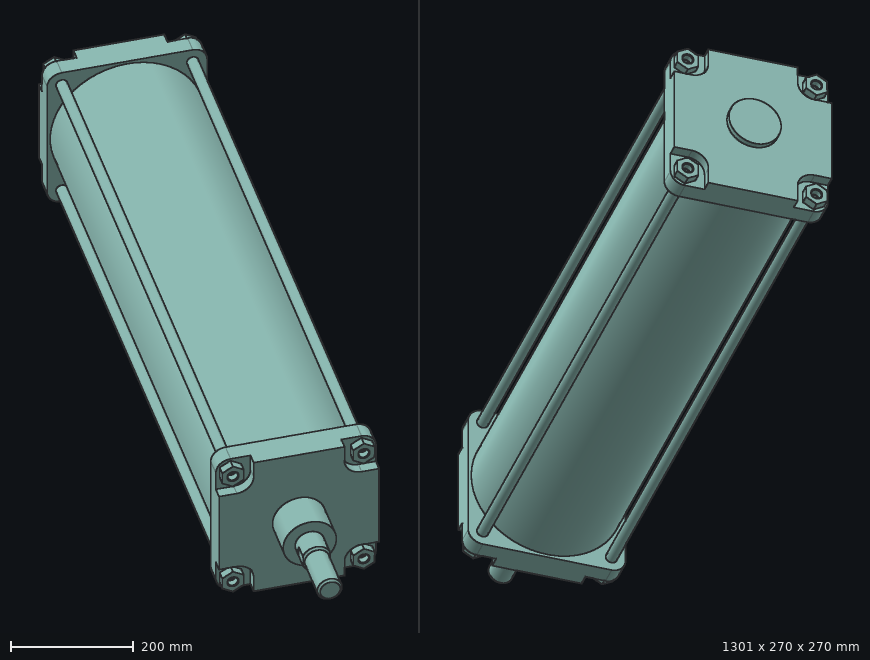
import cadquery as cq

TOTAL_LENGTH = 1301.0

HEAD_SIZE = 270.0
HEAD_THICKNESS = 51.0
HEAD_CORNER_RADIUS = 25.0
BOSS_DIAMETER = 90.0
REAR_BOSS_LENGTH = 10.0
FRONT_BOSS_LENGTH = 65.0

RECESS_SIZE = 59.0
RECESS_DEPTH = 20.0
RECESS_RADIUS = 29.0

TUBE_DIAMETER = 260.0
TUBE_LENGTH = 999.0

TIE_ROD_OFFSET = 110.0
TIE_ROD_DIAMETER = 20.0
NUT_ACROSS_FLATS = 36.0
NUT_HEIGHT = 15.0
NUT_BORE_DIAMETER = 17.0
NUT_COUNTERSINK = 1.0

COLLAR_DIAMETER = 50.0
COLLAR_LENGTH = 15.0
WRENCH_LENGTH = 25.0
WRENCH_ACROSS_FLATS = 45.0
SHOULDER_CHAMFER = 4.0
ROD_END_DIAMETER = 42.0
ROD_END_CHAMFER = 4.0

rear_head_outer = REAR_BOSS_LENGTH
tube_start = rear_head_outer + HEAD_THICKNESS
tube_end = tube_start + TUBE_LENGTH
front_head_outer = tube_end + HEAD_THICKNESS
front_boss_end = front_head_outer + FRONT_BOSS_LENGTH
wrench_start = front_boss_end + COLLAR_LENGTH
wrench_end = wrench_start + WRENCH_LENGTH
shoulder_end = wrench_end + SHOULDER_CHAMFER

CORNERS = [(y_side, z_side) for y_side in (-1, 1) for z_side in (-1, 1)]


def plane_at(x):
    """Plane normal to +X, with local x along Y and local y along Z."""
    return cq.Workplane("YZ", origin=(x, 0, 0))


def bar(diameter, start, end):
    """Round bar on the cylinder axis."""
    return plane_at(start).circle(diameter / 2).extrude(end - start)


def corner_recesses(outer_face, inward):
    """Four rounded blocks to cut from the outer face; inward is the X direction into the head."""
    block_size = RECESS_SIZE + 2 * RECESS_RADIUS
    block_offset = HEAD_SIZE / 2 - RECESS_SIZE + block_size / 2
    return (
        plane_at(outer_face)
        .rect(2 * block_offset, 2 * block_offset, forConstruction=True)
        .vertices()
        .rect(block_size, block_size)
        .extrude(inward * RECESS_DEPTH)
        .edges("|X")
        .fillet(RECESS_RADIUS)
    )


def make_head(outer_face, inward, boss_length):
    """Square head with corner recesses, tie-rod holes and a boss on its outer face."""
    plate = (
        plane_at(outer_face)
        .rect(HEAD_SIZE, HEAD_SIZE)
        .extrude(inward * HEAD_THICKNESS)
        .edges("|X")
        .fillet(HEAD_CORNER_RADIUS)
    )
    holes = (
        plane_at(outer_face)
        .rect(2 * TIE_ROD_OFFSET, 2 * TIE_ROD_OFFSET, forConstruction=True)
        .vertices()
        .circle(TIE_ROD_DIAMETER / 2)
        .extrude(inward * HEAD_THICKNESS)
    )
    boss = plane_at(outer_face).circle(BOSS_DIAMETER / 2).extrude(-inward * boss_length)
    return plate.cut(corner_recesses(outer_face, inward)).cut(holes).union(boss)


def make_tie_rod(y_side, z_side):
    """Tie rod with both nuts, which sit on the recess floors and have corners facing +Z and -Z."""
    center = (y_side * TIE_ROD_OFFSET, z_side * TIE_ROD_OFFSET)
    rear_nut_seat = rear_head_outer + RECESS_DEPTH
    front_nut_seat = front_head_outer - RECESS_DEPTH
    rod = (
        plane_at(rear_nut_seat)
        .center(*center)
        .circle(TIE_ROD_DIAMETER / 2)
        .extrude(front_nut_seat - rear_nut_seat)
    )
    for nut_seat, outward, end_face in ((rear_nut_seat, -1, "<X"), (front_nut_seat, 1, ">X")):
        nut = (
            plane_at(nut_seat)
            .center(*center)
            .polygon(6, NUT_ACROSS_FLATS, circumscribed=True)
            .circle(NUT_BORE_DIAMETER / 2)
            .extrude(outward * NUT_HEIGHT)
            .faces(end_face)
            .edges("%CIRCLE")
            .chamfer(NUT_COUNTERSINK)
        )
        rod = rod.union(nut)
    return rod


def make_piston_rod():
    """Stepped rod that starts on the front boss."""
    collar = bar(COLLAR_DIAMETER, front_boss_end, wrench_start)
    shoulder = bar(COLLAR_DIAMETER, wrench_start, shoulder_end).faces(">X").chamfer(SHOULDER_CHAMFER)
    flats_block = (
        plane_at(wrench_start)
        .rect(WRENCH_ACROSS_FLATS, COLLAR_DIAMETER)
        .extrude(shoulder_end - wrench_start)
    )
    wrench_section = shoulder.intersect(flats_block)
    rod_end = bar(ROD_END_DIAMETER, shoulder_end, TOTAL_LENGTH).faces(">X").chamfer(ROD_END_CHAMFER)
    return collar.union(wrench_section).union(rod_end)


rear_head = make_head(rear_head_outer, 1, REAR_BOSS_LENGTH)
front_head = make_head(front_head_outer, -1, FRONT_BOSS_LENGTH)
tube = bar(TUBE_DIAMETER, tube_start, tube_end)
tie_rods = [make_tie_rod(y_side, z_side) for y_side, z_side in CORNERS]
piston_rod = make_piston_rod()

result = cq.Compound.makeCompound(
    [
        rear_head.val(),
        front_head.val(),
        tube.val(),
        *[tie_rod.val() for tie_rod in tie_rods],
        piston_rod.val(),
    ]
)